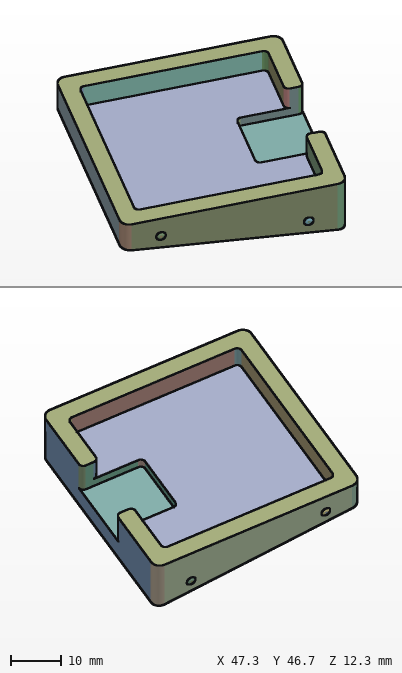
import cadquery as cq

length_x = 47.3
side = 46.7
back_height = 12.3
front_height = 6.6
outer_corner_radius = 2.0
half_side = side / 2

cavity_side = 38.98
cavity_depth = 5.1
cavity_corner_radius = 1.0

notch_width = 14.2
notch_length = 14.0
notch_depth = 7.25
notch_corner_radius = 1.0
wall_end_radius = 1.0

bump_height = (length_x - side) / 2
bump_base_radius = 1.0
bump_tip_radius = 0.3
bump_shoulder_radius = 0.75
bump_shoulder_height = 0.2
bump_y = 15.33
bump_center_depth = 6.45
underside_slope = (back_height - front_height) / side


def make_body():
    """Wedge-shaped block with rounded vertical corners."""
    profile = [
        (-half_side, 0),
        (half_side, 0),
        (half_side, -back_height),
        (-half_side, -front_height),
    ]
    wedge = cq.Workplane("YZ").polyline(profile).close().extrude(half_side, both=True)
    return wedge.edges("|Z").fillet(outer_corner_radius)


def make_cavity():
    """Square pocket open at the rim."""
    block = cq.Workplane("XY").rect(cavity_side, cavity_side).extrude(-cavity_depth)
    return block.edges("|Z").fillet(cavity_corner_radius)


def make_notch():
    """Pocket running out through the back, rounded at its inner corners."""
    block = (
        cq.Workplane("XY")
        .center(0, half_side - notch_length / 2)
        .rect(notch_width, notch_length)
        .extrude(-notch_depth)
    )
    return block.edges("|Z and <Y").fillet(notch_corner_radius)


def round_wall_ends(tray):
    """Round the vertical edges where the notch interrupts the back wall."""
    half_width = notch_width / 2
    margin = 0.05
    wall_end_box = cq.selectors.BoxSelector(
        (-half_width - margin, cavity_side / 2 - margin, -notch_depth),
        (half_width + margin, half_side + margin, 0),
    )
    return tray.edges("|Z").edges(wall_end_box).fillet(wall_end_radius)


def make_bump(direction, y):
    """Flat-tipped dome pointing along X; direction is 1 or -1."""
    z = -bump_center_depth - underside_slope * y
    dome = (
        cq.Workplane("XY")
        .lineTo(bump_base_radius, 0)
        .threePointArc((bump_shoulder_radius, bump_shoulder_height), (bump_tip_radius, bump_height))
        .lineTo(0, bump_height)
        .close()
        .revolve(360, (0, 0, 0), (0, 1, 0))
    )
    dome = dome.rotate((0, 0, 0), (0, 0, 1), -90 * direction)
    return dome.translate((direction * half_side, y, z))


result = round_wall_ends(make_body().cut(make_cavity()).cut(make_notch()))
for direction in (-1, 1):
    for y in (-bump_y, bump_y):
        result = result.union(make_bump(direction, y))